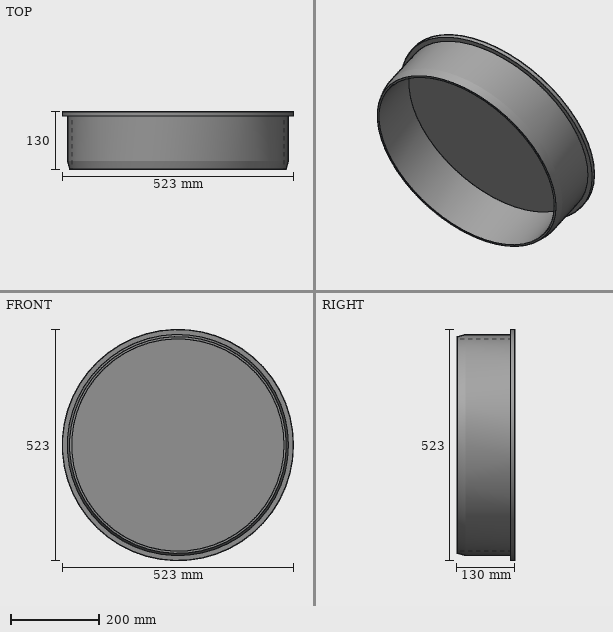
import cadquery as cq

flange_diameter = 523.0
body_diameter = 500.0
bore_diameter = 480.0
total_depth = 130.0
flange_thickness = 10.0
floor_thickness = flange_thickness
taper_length = 19.0
taper_inset = 5.0

flange_radius = flange_diameter / 2
body_radius = body_diameter / 2
bore_radius = bore_diameter / 2
rim_radius = body_radius - taper_inset

back_y = total_depth / 2
rim_y = -back_y
flange_front_y = back_y - flange_thickness
floor_y = back_y - floor_thickness
taper_start_y = rim_y + taper_length

half_section = (
    cq.Workplane("XY")
    .moveTo(0, back_y)
    .lineTo(flange_radius, back_y)
    .lineTo(flange_radius, flange_front_y)
    .lineTo(body_radius, flange_front_y)
    .lineTo(body_radius, taper_start_y)
    .lineTo(rim_radius, rim_y)
    .lineTo(bore_radius, rim_y)
    .lineTo(bore_radius, floor_y)
    .lineTo(0, floor_y)
    .close()
)

result = half_section.revolve(360, (0, 0, 0), (0, 1, 0))